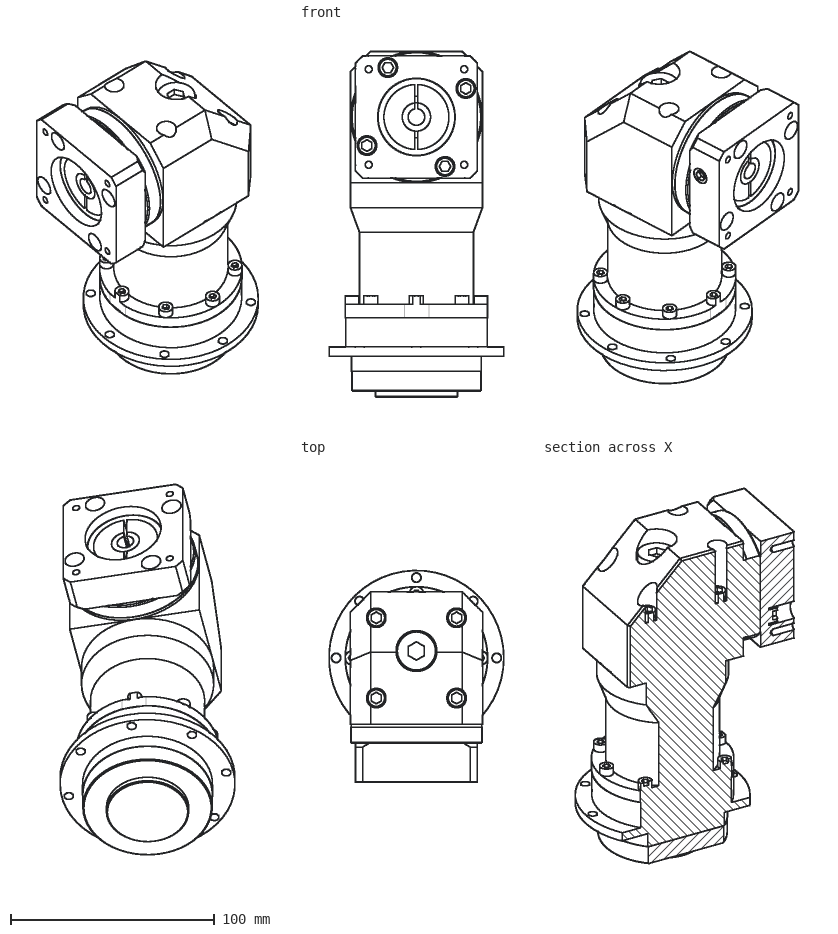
import cadquery as cq
import math


BOSS_RADIUS = 20.2
BOSS_HEIGHT = 3.0
OUTPUT_RADIUS = 31.8
OUTPUT_TOP = 13.0
OUTPUT_CHAMFER = 0.5

PILOT_RADIUS = 32.0
FLANGE_RADIUS = 43.0
FLANGE_BOTTOM = 20.0
FLANGE_TOP = 24.8
BODY_RADIUS = 34.8
BODY_TOP = 39.1
RING_RADIUS = 35.0
RING_TOP = 45.7
RING_FLAT_DISTANCE = 34.5
TUBE_RADIUS = 28.0
TUBE_TOP = 81.1
CONE_TOP = 93.2

BOLT_COUNT = 8
FLANGE_HOLE_CIRCLE = 39.5
FLANGE_HOLE_RADIUS = 2.2
RING_HEAD_RADIUS = 3.4
RING_HEAD_HEIGHT = 4.0
RING_HEAD_CIRCLE = RING_RADIUS - RING_HEAD_RADIUS
RING_SOCKET_WIDTH = 3.0
RING_SOCKET_DEPTH = 2.0

HEAD_WIDTH = 65.0
HEAD_BACK = HEAD_WIDTH / 2
HEAD_FRONT = -HEAD_BACK
HEAD_BOTTOM = 105.4
HEAD_TOP = 170.0
HEAD_SLOPE = 29.5
HEAD_CHAMFER = 10.0
COLLAR_RADIUS = HEAD_BACK
INPUT_Z = (HEAD_BOTTOM + HEAD_TOP) / 2

SCREW_HOLE_RADIUS = 4.8
SCREW_HEAD_RADIUS = 4.0
SCREW_HEAD_HEIGHT = 5.0
SCREW_SOCKET_WIDTH = 5.0
SCREW_SOCKET_DEPTH = 2.5
HEAD_SCREW_OFFSET = 19.7
HEAD_SCREW_TOP = 144.5

PLUG_Y = 3.4
PLUG_TOP = 162.5
PLUG_HOLE_RADIUS = 10.0
PLUG_RADIUS = 9.4
PLUG_HEIGHT = 4.0
PLUG_SOCKET_WIDTH = 7.8
PLUG_SOCKET_DEPTH = 3.4

SPIGOT_RADIUS = 32.1
SPIGOT_END = -34.2
DISC_RADIUS = (HEAD_TOP - HEAD_BOTTOM) / 2
DISC_END = -42.0
DISC_CHAMFER = 0.7

ADAPTER_WIDTH = 60.0
ADAPTER_FRONT = -61.0
ADAPTER_LENGTH = DISC_END - ADAPTER_FRONT
ADAPTER_CORNER_RADIUS = 40.0
ADAPTER_CORNER_CHAMFER = 1.9
MOTOR_PILOT_RADIUS = 19.0
MOTOR_PILOT_DEPTH = 5.8
ADAPTER_BORE_RADIUS = 18.9
MOTOR_HOLE_OFFSET = 23.5
MOTOR_HOLE_RADIUS = 1.7
MOTOR_HOLE_DEPTH = 11.9
ADAPTER_SCREW_COUNT = 4
ADAPTER_SCREW_CIRCLE = 28.0
ADAPTER_SCREW_START_ANGLE = 30
ADAPTER_SCREW_DEPTH = 9.4
ACCESS_Y = -48.6
ACCESS_Z = INPUT_Z + 11.0
ACCESS_RADIUS = 4.0
ACCESS_RECESS = 0.2
ACCESS_SOCKET_WIDTH = 4.8
ACCESS_SOCKET_DEPTH = 2.5

HUB_RADIUS = 16.0
HUB_FRONT = -55.0
HUB_LENGTH = DISC_END - HUB_FRONT
HUB_NECK_RADIUS = 10.2
HUB_NECK_SLOT_DEPTH = 9.4
SLEEVE_RADIUS = 7.0
SLEEVE_BORE_RADIUS = 4.0
SLOT_WIDTH = 1.5


def cylinder_up(radius, bottom, top, x=0, y=0):
    """Cylinder along Z."""
    return cq.Workplane("XY", origin=(x, y, bottom)).circle(radius).extrude(top - bottom)


def cylinder_in(radius, front, length, x=0, z=INPUT_Z):
    """Cylinder along +Y, starting at y = front."""
    return cq.Workplane("XZ", origin=(x, front, z)).circle(radius).extrude(-length)


def hex_prism(plane, width, depth, turn=0):
    """Hexagon of the given width across flats, sunk against the normal of its plane."""
    diameter = width / math.cos(math.pi / 6)
    rotated = cq.Workplane(plane).transformed(rotate=(0, 0, turn))
    return rotated.polygon(6, diameter).extrude(-depth)


def plane_up(x, y, z):
    return cq.Plane(origin=(x, y, z), xDir=(1, 0, 0), normal=(0, 0, 1))


def plane_front(x, y, z):
    return cq.Plane(origin=(x, y, z), xDir=(1, 0, 0), normal=(0, -1, 0))


def polar(radius, angle):
    return radius * math.cos(math.radians(angle)), radius * math.sin(math.radians(angle))


def even_angles(count, start=0):
    return [start + 360 * i / count for i in range(count)]


def make_output_flange():
    boss = cylinder_up(BOSS_RADIUS, 0, BOSS_HEIGHT).faces("<Z").chamfer(OUTPUT_CHAMFER)
    drum = cylinder_up(OUTPUT_RADIUS, BOSS_HEIGHT, OUTPUT_TOP).faces("<Z").chamfer(OUTPUT_CHAMFER)
    return drum.union(boss)


def make_turned_body():
    """Pilot, mounting flange, bolted ring, tube, cone and collar, revolved about Z."""
    profile = [
        (0, OUTPUT_TOP),
        (PILOT_RADIUS, OUTPUT_TOP),
        (PILOT_RADIUS, FLANGE_BOTTOM),
        (FLANGE_RADIUS, FLANGE_BOTTOM),
        (FLANGE_RADIUS, FLANGE_TOP),
        (BODY_RADIUS, FLANGE_TOP),
        (BODY_RADIUS, BODY_TOP),
        (RING_RADIUS, BODY_TOP),
        (RING_RADIUS, RING_TOP),
        (TUBE_RADIUS, RING_TOP),
        (TUBE_RADIUS, TUBE_TOP),
        (COLLAR_RADIUS, CONE_TOP),
        (COLLAR_RADIUS, HEAD_BOTTOM),
        (0, HEAD_BOTTOM),
    ]
    body = cq.Workplane("XZ").polyline(profile).close().revolve(360, (0, 0, 0), (0, 1, 0))
    for angle in even_angles(BOLT_COUNT):
        x, y = polar(FLANGE_HOLE_CIRCLE, angle)
        body = body.cut(cylinder_up(FLANGE_HOLE_RADIUS, FLANGE_BOTTOM, FLANGE_TOP, x, y))
    return body


def add_ring_screws(body):
    """Socket screw heads on the ring, then the flat that trims the ring and the -Y head."""
    head_top = RING_TOP + RING_HEAD_HEIGHT
    for angle in even_angles(BOLT_COUNT):
        x, y = polar(RING_HEAD_CIRCLE, angle)
        head = cylinder_up(RING_HEAD_RADIUS, RING_TOP, head_top, x, y)
        socket = hex_prism(plane_up(x, y, head_top), RING_SOCKET_WIDTH, RING_SOCKET_DEPTH)
        body = body.union(head.cut(socket))
    beyond_flat = cq.Workplane("XY").box(
        2 * RING_RADIUS, RING_RADIUS, head_top - BODY_TOP, centered=(True, False, False)
    )
    beyond_flat = beyond_flat.translate((0, -RING_FLAT_DISTANCE - RING_RADIUS, BODY_TOP))
    return body.cut(beyond_flat)


def make_angle_head():
    """Block with its top rear corner sloped at 45 degrees and its side edges chamfered."""
    profile = [
        (HEAD_FRONT, HEAD_BOTTOM),
        (HEAD_BACK, HEAD_BOTTOM),
        (HEAD_BACK, HEAD_TOP - HEAD_SLOPE),
        (HEAD_BACK - HEAD_SLOPE, HEAD_TOP),
        (HEAD_FRONT, HEAD_TOP),
    ]
    head = cq.Workplane("YZ").polyline(profile).close().extrude(HEAD_WIDTH / 2, both=True)
    for side in ("<X", ">X"):
        head = head.faces(side).edges("not (<Y or <Z)").chamfer(HEAD_CHAMFER)
    return head


def sink_head_screws(head):
    """Four vertical screws, their heads at the bottom of open clearance holes."""
    for x in (-HEAD_SCREW_OFFSET, HEAD_SCREW_OFFSET):
        for y in (-HEAD_SCREW_OFFSET, HEAD_SCREW_OFFSET):
            seat = HEAD_SCREW_TOP - SCREW_HEAD_HEIGHT
            hole = cylinder_up(SCREW_HOLE_RADIUS, seat, HEAD_TOP, x, y)
            screw = cylinder_up(SCREW_HEAD_RADIUS, seat, HEAD_SCREW_TOP, x, y)
            socket_plane = plane_up(x, y, HEAD_SCREW_TOP)
            socket = hex_prism(socket_plane, SCREW_SOCKET_WIDTH, SCREW_SOCKET_DEPTH, 30)
            head = head.cut(hole).union(screw.cut(socket))
    return head


def add_plug(head):
    """Vertical plug with a hexagon socket, standing in a wider hole at the crest of the slope."""
    seat = PLUG_TOP - PLUG_HEIGHT
    hole = cylinder_up(PLUG_HOLE_RADIUS, seat, HEAD_TOP, 0, PLUG_Y)
    plug = cylinder_up(PLUG_RADIUS, seat, PLUG_TOP, 0, PLUG_Y)
    socket = hex_prism(plane_up(0, PLUG_Y, PLUG_TOP), PLUG_SOCKET_WIDTH, PLUG_SOCKET_DEPTH, 30)
    return head.cut(hole).union(plug.cut(socket))


def make_input_disc():
    spigot = cylinder_in(SPIGOT_RADIUS, SPIGOT_END, HEAD_FRONT - SPIGOT_END)
    disc = cylinder_in(DISC_RADIUS, DISC_END, SPIGOT_END - DISC_END)
    return disc.faces("<Y").chamfer(DISC_CHAMFER).union(spigot)


def make_housing():
    body = add_ring_screws(make_turned_body())
    head = add_plug(sink_head_screws(make_angle_head()))
    return body.union(head).union(make_input_disc())


def make_adapter_blank():
    """Square plate whose corners are turned to a radius and chamfered at the back."""
    square = cq.Workplane("XZ", origin=(0, ADAPTER_FRONT, INPUT_Z)).rect(ADAPTER_WIDTH, ADAPTER_WIDTH)
    turned = cylinder_in(ADAPTER_CORNER_RADIUS, ADAPTER_FRONT, ADAPTER_LENGTH)
    return square.extrude(-ADAPTER_LENGTH).intersect(turned.faces(">Y").chamfer(ADAPTER_CORNER_CHAMFER))


def cut_motor_interface(plate):
    """Motor pilot, bore around the hub and four blind motor holes with conical ends."""
    plate = plate.cut(cylinder_in(MOTOR_PILOT_RADIUS, ADAPTER_FRONT, MOTOR_PILOT_DEPTH))
    plate = plate.cut(cylinder_in(ADAPTER_BORE_RADIUS, ADAPTER_FRONT, ADAPTER_LENGTH))
    cone_profile = [
        (0, 0),
        (MOTOR_HOLE_RADIUS, 0),
        (MOTOR_HOLE_RADIUS, MOTOR_HOLE_DEPTH),
        (0, MOTOR_HOLE_DEPTH + MOTOR_HOLE_RADIUS),
    ]
    drill = cq.Workplane("XY").polyline(cone_profile).close().revolve(360, (0, 0, 0), (0, 1, 0))
    for x in (-MOTOR_HOLE_OFFSET, MOTOR_HOLE_OFFSET):
        for z in (INPUT_Z - MOTOR_HOLE_OFFSET, INPUT_Z + MOTOR_HOLE_OFFSET):
            plate = plate.cut(drill.translate((x, ADAPTER_FRONT, z)))
    return plate


def sink_adapter_screws(plate):
    """Four screws along Y, each hexagon turned with its place on the circle."""
    head_front = ADAPTER_FRONT + ADAPTER_SCREW_DEPTH
    for angle in even_angles(ADAPTER_SCREW_COUNT, ADAPTER_SCREW_START_ANGLE):
        x, height = polar(ADAPTER_SCREW_CIRCLE, angle)
        z = INPUT_Z + height
        hole = cylinder_in(SCREW_HOLE_RADIUS, ADAPTER_FRONT, ADAPTER_SCREW_DEPTH + SCREW_HEAD_HEIGHT, x, z)
        screw = cylinder_in(SCREW_HEAD_RADIUS, head_front, SCREW_HEAD_HEIGHT, x, z)
        socket_plane = plane_front(x, head_front, z)
        socket = hex_prism(socket_plane, SCREW_SOCKET_WIDTH, SCREW_SOCKET_DEPTH, angle)
        plate = plate.cut(hole).union(screw.cut(socket))
    return plate


def cut_access_socket(plate):
    """Hexagon socket in a shallow round recess on the -X side."""
    side = cq.Plane(origin=(-ADAPTER_WIDTH / 2, ACCESS_Y, ACCESS_Z), xDir=(0, -1, 0), normal=(-1, 0, 0))
    recess = cq.Workplane(side).circle(ACCESS_RADIUS).extrude(-ACCESS_RECESS)
    return plate.cut(recess).cut(hex_prism(side, ACCESS_SOCKET_WIDTH, ACCESS_SOCKET_DEPTH))


def make_adapter():
    return cut_access_socket(sink_adapter_screws(cut_motor_interface(make_adapter_blank())))


def slot_box(depth, height):
    """Upright slot through the motor axis, cut from the front face of the hub."""
    slot = cq.Workplane("XY", origin=(0, HUB_FRONT, INPUT_Z))
    return slot.box(SLOT_WIDTH, depth, height, centered=(True, False, True))


def make_clamp_hub():
    """Clamp ring slotted along its full length, on a neck slotted to a shorter depth."""
    hub = cylinder_in(HUB_RADIUS, HUB_FRONT, HUB_LENGTH)
    neck_core = cylinder_in(HUB_NECK_RADIUS, HUB_FRONT + HUB_NECK_SLOT_DEPTH, HUB_LENGTH)
    hub = hub.cut(slot_box(HUB_LENGTH, 2 * HUB_RADIUS).cut(neck_core))
    return hub.cut(cylinder_in(SLEEVE_RADIUS, HUB_FRONT, HUB_LENGTH))


def make_sleeve():
    """Reducing sleeve, slit along its top."""
    sleeve = cylinder_in(SLEEVE_RADIUS, HUB_FRONT, HUB_LENGTH)
    bore = cylinder_in(SLEEVE_BORE_RADIUS, HUB_FRONT, HUB_LENGTH)
    slit = slot_box(HUB_LENGTH, SLEEVE_RADIUS).translate((0, 0, SLEEVE_RADIUS / 2))
    return sleeve.cut(bore).cut(slit)


output_flange = make_output_flange()
housing = make_housing()
adapter = make_adapter()
clamp_hub = make_clamp_hub()
sleeve = make_sleeve()

result = cq.Compound.makeCompound([
    output_flange.solids().val(),
    housing.solids().val(),
    adapter.solids().val(),
    clamp_hub.solids().val(),
    sleeve.solids().val(),
])